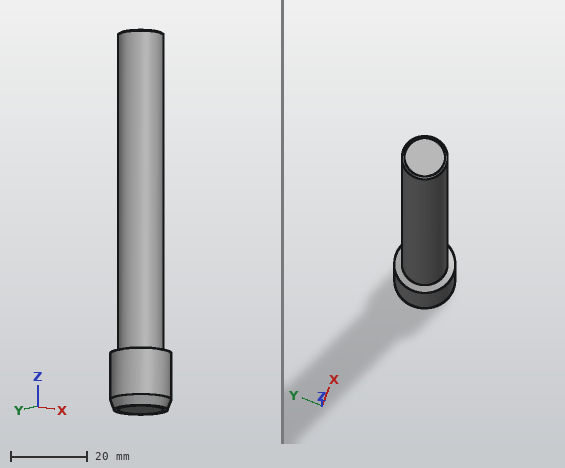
import cadquery as cq

total_length = 100.0

pin_diameter = 12.0
pin_chamfer_height = 0.4
pin_chamfer_width = 0.7

sleeve_diameter = 16.0
sleeve_length = 15.5
shoulder_height = 0.5
lead_in_height = 2.7
lead_in_width = 1.0


def make_pin():
    """Round pin running the full length, with a chamfered top edge."""
    radius = pin_diameter / 2
    profile = (
        cq.Workplane("XZ")
        .lineTo(radius, 0)
        .lineTo(radius, total_length - pin_chamfer_height)
        .lineTo(radius - pin_chamfer_width, total_length)
        .lineTo(0, total_length)
        .close()
    )
    return profile.revolve(360, (0, 0, 0), (0, 1, 0))


def make_sleeve():
    """Sleeve with a shallow conical shoulder at the top and a tapered lead-in at the bottom."""
    bore_radius = pin_diameter / 2
    outer_radius = sleeve_diameter / 2
    profile = (
        cq.Workplane("XZ")
        .moveTo(bore_radius, 0)
        .lineTo(outer_radius - lead_in_width, 0)
        .lineTo(outer_radius, lead_in_height)
        .lineTo(outer_radius, sleeve_length - shoulder_height)
        .lineTo(bore_radius, sleeve_length)
        .close()
    )
    return profile.revolve(360, (0, 0, 0), (0, 1, 0))


pin = make_pin()
sleeve = make_sleeve()

result = cq.Compound.makeCompound([pin.val(), sleeve.val()])